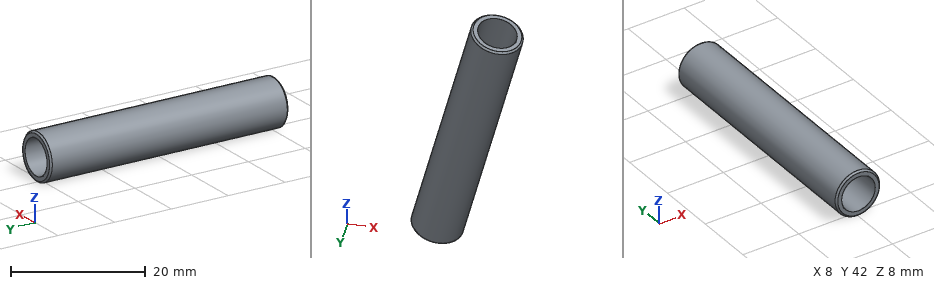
import cadquery as cq

length = 42.0
outer_diameter = 8.0
bore_diameter = 6.0
end_chamfer = 0.3


def cylinder_along_y(diameter):
    """Cylinder of the full tube length, centred on the origin."""
    start = cq.Workplane("XZ", origin=(0, length / 2, 0))
    return start.circle(diameter / 2).extrude(length)


rod = cylinder_along_y(outer_diameter)
rod = rod.faces("<Y or >Y").edges().chamfer(end_chamfer)

result = rod.cut(cylinder_along_y(bore_diameter))